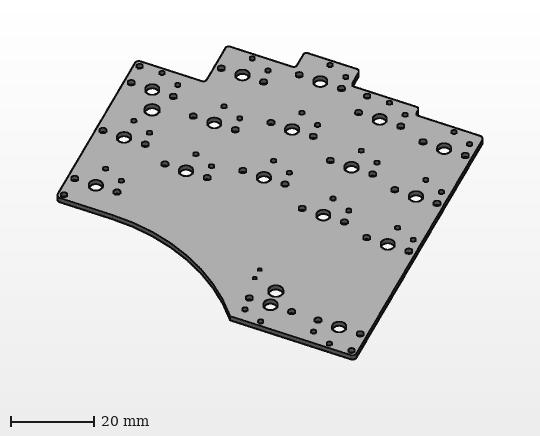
import cadquery as cq
import math

length = 86.6
thickness = 1.6

column_pitch = 18.0
row_pitch = 17.0
rows = 3
key_margin = 7.3
column_x = [length / 2 + i * column_pitch for i in (-2, -1, 0, 1, 2)]
top_key_y = [60.0, 73.0, 78.55, 73.0, 70.5]
thumb_key_y = key_margin

key_centre_diameter = 3.5
key_side_diameter = 1.7
key_side_offset = 5.5
key_pin_diameter = 1.3
key_pins = [(0, 5.9), (5.0, 3.8)]

mount_diameter = 1.6
mount_edge = 1.5
mount_holes = [
    (mount_edge, 65.7),
    (mount_edge, 20.2),
    (55.5, 78.7),
    (length - mount_edge, mount_edge),
]
opening_diameter = 3.7
openings = [(9.9, 53.95), (60.7, 11.9)]
cable_hole_diameter = 0.9
cable_holes = [(54.4, 16.7), (54.4, 13.7)]

arc_start_x = 14.8
arc_radius = 50.05
outer_corner_radius = 1.0
step_corner_radius = 0.9

step_x = [
    column_x[1] - key_margin,
    column_x[2] - key_margin,
    column_x[2] + key_margin,
    column_x[3] + key_margin,
]
left_bottom_y = top_key_y[0] - (rows - 1) * row_pitch - key_margin
left_top_y = top_key_y[0] + key_margin
shoulder_y = top_key_y[1] + key_margin
top_y = top_key_y[2] + key_margin
right_top_y = top_key_y[4] + key_margin


def arc_point(angle):
    """Point on the concave edge, at an angle from its upper tangent point."""
    return (
        arc_start_x + arc_radius * math.sin(angle),
        left_bottom_y - arc_radius * (1 - math.cos(angle)),
    )


def make_plate():
    """Stepped plate with a concave arc cut from its lower left corner."""
    arc_angle = math.acos(1 - left_bottom_y / arc_radius)
    plate = (
        cq.Workplane("XY")
        .moveTo(0, left_bottom_y)
        .lineTo(arc_start_x, left_bottom_y)
        .threePointArc(arc_point(arc_angle / 2), arc_point(arc_angle))
        .lineTo(length, 0)
        .lineTo(length, right_top_y)
        .lineTo(step_x[3], right_top_y)
        .lineTo(step_x[3], shoulder_y)
        .lineTo(step_x[2], shoulder_y)
        .lineTo(step_x[2], top_y)
        .lineTo(step_x[1], top_y)
        .lineTo(step_x[1], shoulder_y)
        .lineTo(step_x[0], shoulder_y)
        .lineTo(step_x[0], left_top_y)
        .lineTo(0, left_top_y)
        .close()
        .extrude(thickness)
    )
    outer_corners = [(0, left_bottom_y), (0, left_top_y), (length, right_top_y), (length, 0)]
    step_corners = [
        (step_x[0], left_top_y),
        (step_x[0], shoulder_y),
        (step_x[1], shoulder_y),
        (step_x[1], top_y),
        (step_x[2], top_y),
        (step_x[2], shoulder_y),
        (step_x[3], shoulder_y),
        (step_x[3], right_top_y),
    ]
    plate = round_corners(plate, outer_corners, outer_corner_radius)
    return round_corners(plate, step_corners, step_corner_radius)


def round_corners(plate, corners, radius):
    """Fillet the vertical edges standing at the given corners."""
    for x, y in corners:
        middle = (x, y, thickness / 2)
        plate = plate.edges("|Z").edges(cq.selectors.NearestToPointSelector(middle)).fillet(radius)
    return plate


def drill(plate, points, diameter):
    """Cut round holes through the plate."""
    cutters = cq.Workplane("XY").pushPoints(points).circle(diameter / 2).extrude(thickness)
    return plate.cut(cutters)


def drill_keys(plate, centres, direction):
    """Cut the holes of keys; a direction of -1 turns the keys half a turn."""
    sides = [(x + side * key_side_offset, y) for x, y in centres for side in (-1, 1)]
    pins = [(x + direction * dx, y + direction * dy) for x, y in centres for dx, dy in key_pins]
    plate = drill(plate, centres, key_centre_diameter)
    plate = drill(plate, sides, key_side_diameter)
    return drill(plate, pins, key_pin_diameter)


finger_keys = [(x, y - row * row_pitch) for x, y in zip(column_x, top_key_y) for row in range(rows)]
thumb_keys = [(x, thumb_key_y) for x in column_x[3:]]

result = make_plate()
result = drill_keys(result, finger_keys, 1)
result = drill_keys(result, thumb_keys, -1)
result = drill(result, mount_holes, mount_diameter)
result = drill(result, openings, opening_diameter)
result = drill(result, cable_holes, cable_hole_diameter)